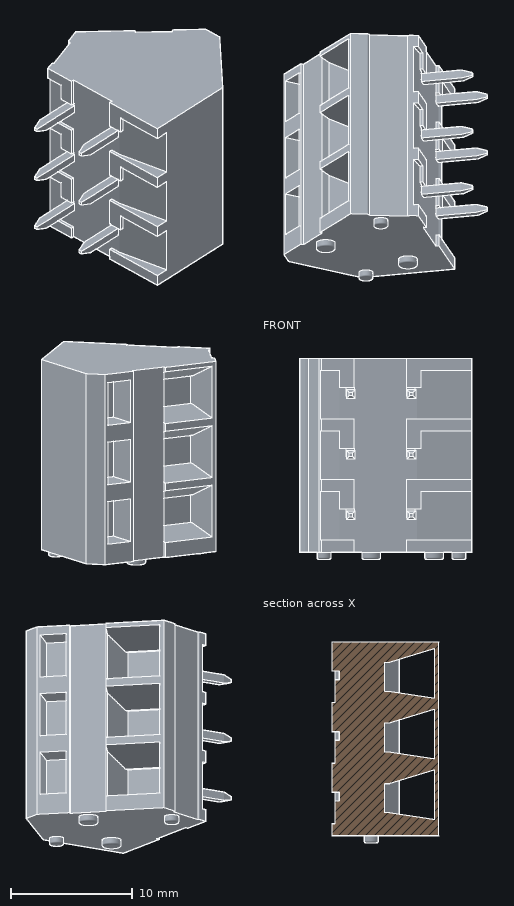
import cadquery as cq
import math

pole_count = 3
pitch = 5.0
rib_height = 1.0
body_height = pole_count * pitch + rib_height
width = 14.2
depth = 12.9
overlap = 0.17

nose_y = 5.3
crown_left = depth - nose_y
crown_right = 9.2
right_wall_top = 7.91
face_recess_top = (5.8, 10.77)
face_recess_bottom = (3.63, 8.65)
recess_lip_top_y = 10.95
recess_lip_bottom_y = 8.77

nose_rounding_start = (0.44, 4.0)
nose_rounding_middle = (0.5, 3.92)
nose_rounding_end = (0.6, 3.89)
grip_recess_top = (0.71, 3.89)
lip_start = (1.69, 0.88)
lip_middle = (1.62, 0.8)
lip_end = (1.62, 0.65)

base_y = 0.25
left_foot_x = 1.8
left_foot_end = 4.5
right_foot_start = 8.8
leg_bottom = 3.58
left_leg_x = 3.3
left_pocket_edge_y = 0.4
left_pocket_edge = 1.52
right_leg_x = 10.02
right_slope_start = 9.68
right_slope_end_y = 1.12

pin_x = 4.2
pin_z = 3.06
pin_width = 0.73
pin_thickness = 0.71
pin_tip_y = -4.0
pin_taper_y = -3.15
pin_tip_size = 0.27
pin_root_y = 1.35
pin_pocket_shift_x = -0.05
pin_pocket_width = 0.7
pin_pocket_depth = 0.34

funnel_near_y = 5.58
funnel_low_z = 1.27
funnel_high_z = 5.63
throat_low_z = 1.93
throat_high_z = 4.3
throat_depth = 3.1
funnel_depth = 3.38
mouth_clearance = 0.42
straight_wall_depth = 0.66
far_wall_lean = math.radians(20)

window_low_y = 11.15
window_high_y = 12.71
window_low_z = 1.7
window_height = 3.58
window_depth = 2.7

peg_height = 0.59
peg_rounding = 0.15
small_peg_diameter = 1.17
small_pegs = [(2.01, 3.25), (13.13, 7.3)]
large_peg_diameter = 1.55
large_pegs = [(5.9, 8.9), (11.09, 3.21)]

diagonal = math.sqrt(0.5)


def prism(points, low_z, high_z):
    """Extrude an XY outline between two heights."""
    return cq.Workplane("XY").workplane(offset=low_z).polyline(points).close().extrude(high_z - low_z)


def box(x_range, y_range, z_range):
    """Axis-aligned box given by its limits."""
    low_x, high_x = x_range
    low_y, high_y = y_range
    corners = [(low_x, low_y), (high_x, low_y), (high_x, high_y), (low_x, high_y)]
    return prism(corners, *z_range)


def inward(point, distance):
    """Move a point into the body along the normal of the entry face."""
    return (point[0] + distance * diagonal, point[1] - distance * diagonal)


def on_entry_face(y):
    """Point of the entry face at the given Y."""
    return (y - nose_y, y)


def make_body():
    """Closed outline of the housing, extruded over all poles."""
    outline = (
        cq.Workplane("XY")
        .polyline([
            lip_end,
            (left_foot_x, 0),
            (left_foot_end, 0),
            (left_foot_end, base_y),
            (right_foot_start, base_y),
            (right_foot_start, 0),
            (width, 0),
            (width, right_wall_top),
            (crown_right, depth),
            (crown_left, depth),
            on_entry_face(recess_lip_top_y),
            face_recess_top,
            face_recess_bottom,
            on_entry_face(recess_lip_bottom_y),
            (0, nose_y),
            nose_rounding_start,
        ])
        .threePointArc(nose_rounding_middle, nose_rounding_end)
        .lineTo(*grip_recess_top)
        .lineTo(*lip_start)
        .threePointArc(lip_middle, lip_end)
        .close()
    )
    return outline.extrude(body_height)


def make_foot_pockets(pole_z):
    """Two pockets with sloping floors beside the pins, each with a leg left hanging into it."""
    low_z = pole_z + rib_height
    high_z = pole_z + pitch
    left_outline = [
        (left_foot_end, -overlap),
        (left_foot_end, base_y),
        (left_leg_x, base_y),
        (left_pocket_edge, left_pocket_edge_y),
        (left_pocket_edge, -overlap),
    ]
    right_outline = [
        (right_foot_start, -overlap),
        (right_foot_start, base_y),
        (right_slope_start, base_y),
        (width, right_slope_end_y),
        (width + overlap, right_slope_end_y),
        (width + overlap, -overlap),
    ]
    leg_y = (-overlap, right_slope_end_y)
    leg_z = (pole_z + leg_bottom, high_z)
    left = prism(left_outline, low_z, high_z).cut(box((left_leg_x, left_foot_end), leg_y, leg_z))
    right = prism(right_outline, low_z, high_z).cut(box((right_foot_start, right_leg_x), leg_y, leg_z))
    return left.union(right)


def make_funnel(pole_z):
    """Wire entry square to the entry face, tapering to a throat."""
    near_mouth = on_entry_face(funnel_near_y)
    far_mouth = inward(face_recess_bottom, -mouth_clearance)
    far_bend = inward(face_recess_bottom, straight_wall_depth)
    far_wall_length = (funnel_depth - straight_wall_depth) / math.cos(math.pi / 4 - far_wall_lean)
    far_end = (
        far_bend[0] + far_wall_length * math.sin(far_wall_lean),
        far_bend[1] - far_wall_length * math.cos(far_wall_lean),
    )
    section = prism(
        [
            inward(near_mouth, -mouth_clearance),
            far_mouth,
            far_bend,
            far_end,
            inward(near_mouth, funnel_depth),
        ],
        pole_z,
        pole_z + pitch + rib_height,
    )
    entry_plane = cq.Plane(
        origin=(*near_mouth, pole_z), xDir=(diagonal, -diagonal, 0), normal=(-diagonal, -diagonal, 0)
    )
    taper = (
        cq.Workplane(entry_plane)
        .polyline([
            (-mouth_clearance, funnel_low_z),
            (0, funnel_low_z),
            (throat_depth, throat_low_z),
            (funnel_depth, throat_low_z),
            (funnel_depth, throat_high_z),
            (throat_depth, throat_high_z),
            (0, funnel_high_z),
            (-mouth_clearance, funnel_high_z),
        ])
        .close()
        .extrude(width, both=True)
    )
    return section.intersect(taper)


def make_window(pole_z):
    """Rectangular slot square to the entry face."""
    low = on_entry_face(window_low_y)
    high = on_entry_face(window_high_y)
    outline = [
        inward(low, -overlap),
        inward(high, -overlap),
        inward(high, window_depth),
        inward(low, window_depth),
    ]
    return prism(outline, pole_z + window_low_z, pole_z + window_low_z + window_height)


def make_pin_pocket(x, pole_z):
    """Shallow square pocket that reaches from the leg down around the pin root."""
    low_x = x + pin_pocket_shift_x - pin_pocket_width / 2
    high_z = pole_z + leg_bottom
    return box(
        (low_x, low_x + pin_pocket_width),
        (0, base_y + pin_pocket_depth),
        (high_z - pin_pocket_width, high_z),
    )


def make_pin(x, pole_z):
    """Rectangular pin with a pyramidal tip, rooted in the body."""
    z = pole_z + pin_z
    shank = box(
        (x - pin_width / 2, x + pin_width / 2),
        (pin_taper_y, pin_root_y),
        (z - pin_thickness / 2, z + pin_thickness / 2),
    )
    tip = (
        cq.Workplane("XZ", origin=(x, pin_taper_y, z))
        .rect(pin_width, pin_thickness)
        .workplane(offset=pin_taper_y - pin_tip_y)
        .rect(pin_tip_size, pin_tip_size)
        .loft(ruled=True)
    )
    return shank.union(tip)


def make_pegs(centres, diameter):
    """Round pegs below the lower end face, rounded at their tips."""
    return (
        cq.Workplane("XY", origin=(0, 0, overlap))
        .pushPoints(centres)
        .circle(diameter / 2)
        .extrude(-(peg_height + overlap))
        .faces("<Z")
        .edges()
        .fillet(peg_rounding)
    )


result = make_body()
for pole in range(pole_count):
    pole_z = pole * pitch
    result = result.cut(make_foot_pockets(pole_z))
    result = result.cut(make_funnel(pole_z))
    result = result.cut(make_window(pole_z))
    for x in (pin_x, pin_x + pitch):
        result = result.cut(make_pin_pocket(x, pole_z))
        result = result.union(make_pin(x, pole_z))

result = result.union(make_pegs(small_pegs, small_peg_diameter))
result = result.union(make_pegs(large_pegs, large_peg_diameter))